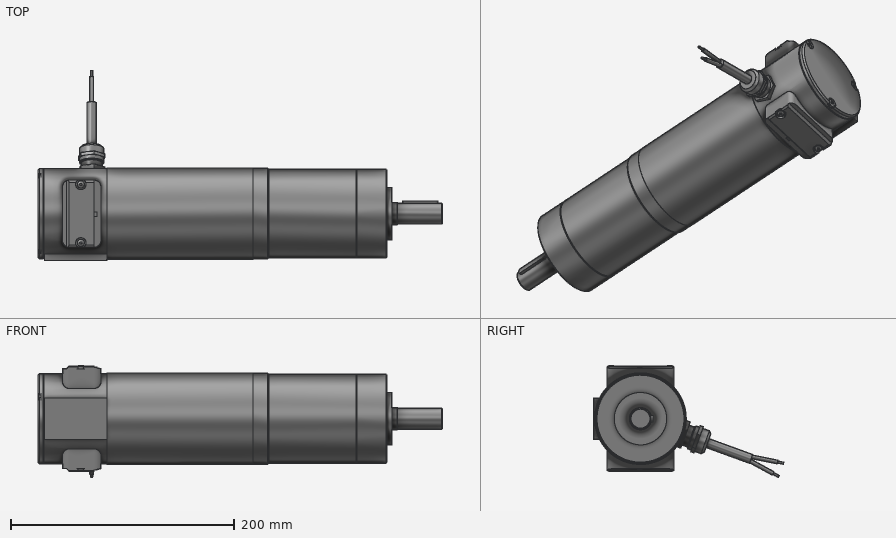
import cadquery as cq
import math


total_length = 363.02
cover_thickness = 4.6
housing_end = 62.0
tube_end = 193.0
bracket_end = 206.3
gearbox_joint = 285.2
gearbox_end = 313.0
pilot_end = 317.5
collar_end = 322.5

housing_dia = 81.0
tube_dia = 82.2
bracket_dia = 81.8
gearbox_dia = 80.0
pilot_dia = 47.0
collar_dia = 20.0
collar_chamfer = 0.4
shaft_dia = 19.0
edge_chamfer = 1.0
bracket_chamfer = 0.4
cover_chamfer = 1.5
shaft_chamfer = 1.0
groove_width = 0.8
groove_depth = 0.4

cover_screw_circle_radius = 36.0
cover_screw_angles = (30, 150, 270)
cover_pocket_dia = 9.3
cover_pocket_depth = 3.0
cover_screw_head_dia = 8.0

screw_dome_height = 1.2
socket_dia = 2.0
socket_depth = 1.2

pad_start = 6.0
pad_face_y = -42.0
pad_height = 37.0

box_start = 22.2
box_end = 56.6
box_half_length = 30.1
box_corner_radius = 6.0
ledge_z = 44.8
lid_top_z = 47.2
lid_foot_x = 25.9
lid_left_x = 28.0
lid_right_x = 50.6
lid_shoulder_drop = 1.0
lid_end_chamfer_length = 2.0
lid_end_chamfer_drop = 0.8
lid_screw_x = 38.6
lid_screw_y = 26.2
lid_pocket_dia = 9.3
lid_pocket_depth = 2.5
lid_screw_head_dia = 6.4
upper_screw_rise = 0.8
clip_width_x = 2.4
clip_width_y = 4.0
clip_y = -0.5

cable_x = 48.3
cable_angle = -20.0
gland_seat_radius = 43.0
gland_hex_width = 22.0
gland_hex_turn = -20.0
gland_neck_dia = 19.0
gland_neck_end = 48.0
gland_body_dia = 22.0
gland_hex_start = 52.4
gland_hex_end = 55.5
gland_end = 64.0
gland_end_chamfer = 2.2
gland_groove_dia = 20.0
gland_groove_width = 1.0
cable_dia = 8.5
cable_end = 105.5
wire_dia = 3.5
wire_spread = 8.55
wire_offset = 2.0
insulation_length = 23.4
conductor_dia = 2.0
conductor_length = 5.7
wire_root = 2.0

key_start = 327.0
key_length = 32.0
key_width = 6.0
key_top_y = 11.4


def stage(start, end, diameter):
    """Solid round stage of the motor between two X stations."""
    return cq.Workplane("YZ", origin=(start, 0, 0)).circle(diameter / 2).extrude(end - start)


def ring(start, width, outer_dia, inner_dia):
    """Ring around the motor axis, used to cut a shallow groove."""
    return stage(start, start + width, outer_dia).cut(stage(start, start + width, inner_dia))


def make_motor_body():
    housing = stage(0, housing_end, housing_dia).faces("<X").chamfer(cover_chamfer)
    bracket = stage(tube_end, bracket_end, bracket_dia).faces(">X").chamfer(bracket_chamfer)
    gearbox = stage(bracket_end, gearbox_end, gearbox_dia).faces(">X").chamfer(edge_chamfer)
    shaft = stage(collar_end, total_length, shaft_dia).faces(">X").chamfer(shaft_chamfer)
    body = housing.union(stage(housing_end, tube_end, tube_dia))
    body = body.union(bracket).union(gearbox)
    body = body.union(stage(gearbox_end, pilot_end, pilot_dia))
    collar = stage(pilot_end, collar_end, collar_dia).faces(">X").chamfer(collar_chamfer)
    body = body.union(collar).union(shaft)
    for start, diameter in (
        (cover_thickness, housing_dia),
        (bracket_end, gearbox_dia),
        (gearbox_joint, gearbox_dia),
    ):
        body = body.cut(ring(start, groove_width, diameter, diameter - 2 * groove_depth))
    return body


def make_pad():
    return cq.Workplane("XY").box(
        housing_end - pad_start, -pad_face_y, pad_height, centered=(False, False, True)
    ).translate((pad_start, pad_face_y, 0))


def make_key():
    key = cq.Workplane("XZ").slot2D(key_length, key_width).extrude(-key_top_y)
    return key.translate((key_start + key_length / 2, 0, 0))


def screw_head(diameter, height):
    """Domed screw head with a round driver socket, standing on Z = 0."""
    dome_base = height - screw_dome_height
    head = cq.Workplane("XY").circle(diameter / 2).extrude(dome_base)
    dome = (
        cq.Workplane("XZ")
        .moveTo(0, dome_base)
        .lineTo(diameter / 2, dome_base)
        .threePointArc((diameter / 4, height - screw_dome_height / 4), (0, height))
        .close()
        .revolve(360, (0, 0, 0), (0, 1, 0))
    )
    socket = (
        cq.Workplane("XY", origin=(0, 0, height - socket_depth))
        .circle(socket_dia / 2)
        .extrude(socket_depth)
    )
    return head.union(dome).cut(socket)


def add_cover_screws(body):
    """Sink three screws into the rear cover; the pockets break out of its rim."""
    head = screw_head(cover_screw_head_dia, cover_pocket_depth).rotate((0, 0, 0), (0, 1, 0), -90)
    for angle in cover_screw_angles:
        y = cover_screw_circle_radius * math.cos(math.radians(angle))
        z = cover_screw_circle_radius * math.sin(math.radians(angle))
        pocket = stage(0, cover_pocket_depth, cover_pocket_dia).translate((0, y, z))
        body = body.cut(pocket).union(head.translate((cover_pocket_depth, y, z)))
    return body


def make_brush_box(screw_rise):
    """Brush box on the +Z side with raised lid, two sunk lid screws and a clip on its ledge.

    The screw domes stand screw_rise above the lid.
    """
    box_length = 2 * box_half_length
    box = (
        cq.Workplane("XZ", origin=(0, box_half_length, 0))
        .moveTo(box_start, 0)
        .lineTo(box_start, ledge_z)
        .lineTo(lid_foot_x, ledge_z)
        .lineTo(lid_left_x, lid_top_z)
        .lineTo(lid_right_x, lid_top_z)
        .lineTo(lid_right_x, lid_top_z - lid_shoulder_drop)
        .lineTo(box_end, ledge_z)
        .lineTo(box_end, 0)
        .close()
        .extrude(box_length)
    )
    outline = (
        cq.Workplane("XY")
        .box(box_end - box_start, box_length, lid_top_z, centered=(False, True, False))
        .edges("|Z")
        .fillet(box_corner_radius)
        .translate((box_start, 0, 0))
    )
    side_profile = (
        cq.Workplane("YZ", origin=(box_start, 0, 0))
        .moveTo(-box_half_length, 0)
        .lineTo(-box_half_length, lid_top_z - lid_end_chamfer_drop)
        .lineTo(-box_half_length + lid_end_chamfer_length, lid_top_z)
        .lineTo(box_half_length - lid_end_chamfer_length, lid_top_z)
        .lineTo(box_half_length, lid_top_z - lid_end_chamfer_drop)
        .lineTo(box_half_length, 0)
        .close()
        .extrude(box_end - box_start)
    )
    box = box.intersect(outline).intersect(side_profile)

    pocket_floor = lid_top_z - lid_pocket_depth
    head = screw_head(lid_screw_head_dia, lid_pocket_depth + screw_rise)
    pocket = cq.Workplane("XY").circle(lid_pocket_dia / 2).extrude(lid_pocket_depth)
    for y in (-lid_screw_y, lid_screw_y):
        place = (lid_screw_x, y, pocket_floor)
        box = box.cut(pocket.translate(place)).union(head.translate(place))

    clip = (
        cq.Workplane("XY")
        .box(clip_width_x, clip_width_y, lid_top_z - lid_shoulder_drop, centered=(False, True, False))
        .translate((lid_right_x, clip_y, 0))
    )
    return box.union(clip)


def make_gland():
    """Cable gland and cable along +Z, before being turned to the cable direction."""

    def section(start, end, diameter):
        return cq.Workplane("XY", origin=(0, 0, start)).circle(diameter / 2).extrude(end - start)

    def hexagon(start, end):
        corner_dia = gland_hex_width / math.cos(math.pi / 6)
        prism = cq.Workplane("XY", origin=(0, 0, start)).polygon(6, corner_dia).extrude(end - start)
        return prism.rotate((0, 0, 0), (0, 0, 1), gland_hex_turn)

    seat = hexagon(0, gland_seat_radius)
    nut_hex = hexagon(gland_hex_start, gland_hex_end)
    nut = section(gland_neck_end, gland_end, gland_body_dia).faces(">Z").chamfer(gland_end_chamfer)
    nut_groove = section(gland_neck_end, gland_neck_end + gland_groove_width, gland_body_dia).cut(
        section(gland_neck_end, gland_neck_end + gland_groove_width, gland_groove_dia)
    )
    gland = seat.union(section(0, gland_neck_end, gland_neck_dia)).union(nut)
    gland = gland.union(nut_hex)
    gland = gland.cut(nut_groove).union(section(0, cable_end, cable_dia))

    insulation = section(-wire_root, insulation_length, wire_dia)
    conductor = section(0, insulation_length + conductor_length, conductor_dia)
    wire = insulation.union(conductor)
    for side in (-1, 1):
        turned = wire.rotate((0, 0, 0), (1, 0, 0), -side * wire_spread)
        gland = gland.union(turned.translate((0, side * wire_offset, cable_end)))
    return gland


motor = make_motor_body()
motor = motor.union(make_pad()).union(make_key())

motor = motor.union(make_brush_box(upper_screw_rise))
motor = motor.union(make_brush_box(0).mirror("XY"))
motor = add_cover_screws(motor)

gland = make_gland().rotate((0, 0, 0), (1, 0, 0), -90 + cable_angle).translate((cable_x, 0, 0))
result = motor.union(gland)